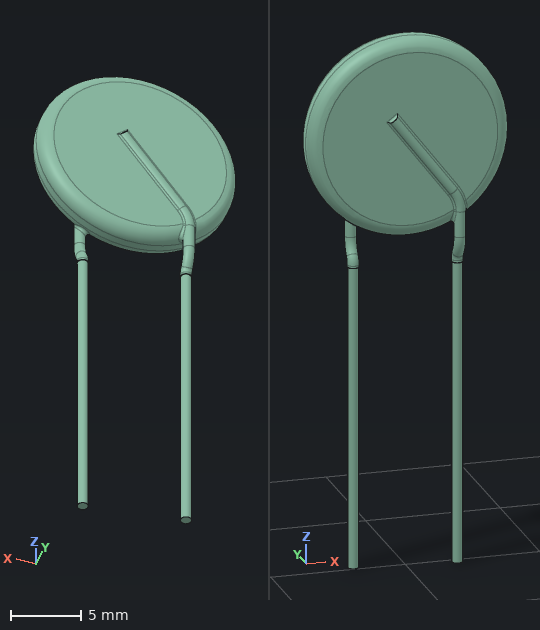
import cadquery as cq
import math

DISC_DIAMETER = 15.0
DISC_THICKNESS = 2.6
DISC_EDGE_RADIUS = 1.0

TOTAL_HEIGHT = 40.0
LEAD_PITCH = 7.5
WIRE_DIAMETER = 0.8
COATING_DIAMETER = 0.9
DEPTH_OVER_LEADS = 3.1
COATING_END_Z = -9.85

FACE_BEND_Z = -5.8
FACE_BEND_RADIUS = 2.6
FACE_BEND_ANGLE = math.radians(37.5)
FACE_RUN_LENGTH = 7.3
JOINT_FILLET_RADIUS = 0.2

S_BEND_TOP_Z = -7.72
S_BEND_UPPER_RADIUS = 2.25
S_BEND_ANGLE = math.radians(37.5)

wire_bottom_z = DISC_DIAMETER / 2 - TOTAL_HEIGHT
lead_x = LEAD_PITCH / 2
upper_y = (COATING_DIAMETER - DEPTH_OVER_LEADS) / 2
lower_y = -COATING_DIAMETER / 2

TOLERANCE = 0.005


def arc_shift(radius, angle):
    """Sideways travel along an arc that starts parallel to the lead."""
    return radius * (1 - math.cos(angle))


def arc_rise(radius, angle):
    """Travel along the lead over the same arc."""
    return radius * math.sin(angle)


def make_disc():
    disc = (
        cq.Workplane("XZ", origin=(0, DISC_THICKNESS / 2, 0))
        .circle(DISC_DIAMETER / 2)
        .extrude(DISC_THICKNESS)
    )
    return disc.edges().fillet(DISC_EDGE_RADIUS)


def make_coating():
    """Coated length, from its lower end up to the tip on the disc face."""
    upper_shift = arc_shift(S_BEND_UPPER_RADIUS, S_BEND_ANGLE)
    lower_shift = lower_y - upper_y - upper_shift
    lower_radius = lower_shift / (1 - math.cos(S_BEND_ANGLE))
    inflection_z = S_BEND_TOP_Z - arc_rise(S_BEND_UPPER_RADIUS, S_BEND_ANGLE)
    s_bend_bottom_z = inflection_z - arc_rise(lower_radius, S_BEND_ANGLE)

    s_bend = (
        cq.Workplane("YZ", origin=(lead_x, 0, 0))
        .moveTo(lower_y, COATING_END_Z)
        .lineTo(lower_y, s_bend_bottom_z)
        .threePointArc(
            (
                lower_y - arc_shift(lower_radius, S_BEND_ANGLE / 2),
                s_bend_bottom_z + arc_rise(lower_radius, S_BEND_ANGLE / 2),
            ),
            (lower_y - lower_shift, inflection_z),
        )
        .threePointArc(
            (
                upper_y + arc_shift(S_BEND_UPPER_RADIUS, S_BEND_ANGLE / 2),
                S_BEND_TOP_Z - arc_rise(S_BEND_UPPER_RADIUS, S_BEND_ANGLE / 2),
            ),
            (upper_y, S_BEND_TOP_Z),
        )
        .lineTo(upper_y, FACE_BEND_Z)
    )
    lower_part = (
        cq.Workplane("XY", origin=(lead_x, lower_y, COATING_END_Z))
        .circle(COATING_DIAMETER / 2)
        .sweep(s_bend)
    )

    run_start_x = lead_x - arc_shift(FACE_BEND_RADIUS, FACE_BEND_ANGLE)
    run_start_z = FACE_BEND_Z + arc_rise(FACE_BEND_RADIUS, FACE_BEND_ANGLE)
    face_run = (
        cq.Workplane("XZ", origin=(0, upper_y, 0))
        .moveTo(lead_x, FACE_BEND_Z)
        .threePointArc(
            (
                lead_x - arc_shift(FACE_BEND_RADIUS, FACE_BEND_ANGLE / 2),
                FACE_BEND_Z + arc_rise(FACE_BEND_RADIUS, FACE_BEND_ANGLE / 2),
            ),
            (run_start_x, run_start_z),
        )
        .lineTo(
            run_start_x - FACE_RUN_LENGTH * math.sin(FACE_BEND_ANGLE),
            run_start_z + FACE_RUN_LENGTH * math.cos(FACE_BEND_ANGLE),
        )
    )
    upper_part = (
        cq.Workplane("XY", origin=(lead_x, upper_y, FACE_BEND_Z))
        .circle(COATING_DIAMETER / 2)
        .sweep(face_run)
    )
    return lower_part.union(upper_part)


def make_lead():
    """Front lead, on the +X side."""
    wire = (
        cq.Workplane("XY", origin=(lead_x, lower_y, wire_bottom_z))
        .circle(WIRE_DIAMETER / 2)
        .extrude(COATING_END_Z - wire_bottom_z)
    )
    return make_coating().union(wire)


def is_joint_edge(edge):
    """True for edges where a coated lead meets the disc."""
    middle = edge.positionAt(0.5)
    x_on_front = middle.x if middle.y < 0 else -middle.x
    distance_from_mid_plane = abs(middle.y)
    coating_outer_x = lead_x + COATING_DIAMETER / 2
    return (
        -lower_y < distance_from_mid_plane < DISC_THICKNESS / 2 + TOLERANCE
        and -lead_x < x_on_front < coating_outer_x - TOLERANCE
        and S_BEND_TOP_Z < middle.z < DISC_DIAMETER / 4
    )


front_lead = make_lead()
back_lead = front_lead.rotate((0, 0, 0), (0, 0, 1), 180)

body = make_disc().union(front_lead).union(back_lead)
result = body.edges().filter(is_joint_edge).fillet(JOINT_FILLET_RADIUS)